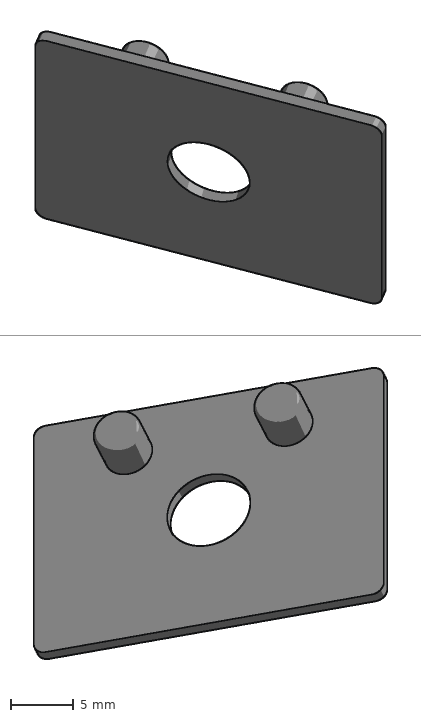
import cadquery as cq

plate_width = 29.5
plate_height = 22.5
plate_thickness = 1.0
corner_radius = 1.0
hole_diameter = 7.0

peg_diameter = 4.0
peg_length = 3.5
peg_spacing = 13.5
peg_height_above_center = 7.0
peg_tip_radius = 0.5


def make_plate():
    """Rounded plate with a central through hole, front face at Y = 0."""
    plate = (
        cq.Workplane("XY")
        .box(plate_width, plate_thickness, plate_height, centered=(True, False, True))
        .edges("|Y")
        .fillet(corner_radius)
    )
    return plate.faces("<Y").workplane(origin=(0, 0, 0)).hole(hole_diameter)


def make_peg(x):
    """Peg rising from the back face, with a rounded rim at its tip."""
    base = cq.Workplane("XZ", origin=(x, plate_thickness, peg_height_above_center))
    peg = base.circle(peg_diameter / 2).extrude(-peg_length)
    return peg.faces(">Y").edges().fillet(peg_tip_radius)


result = make_plate()
for side in (-1, 1):
    result = result.union(make_peg(side * peg_spacing / 2))